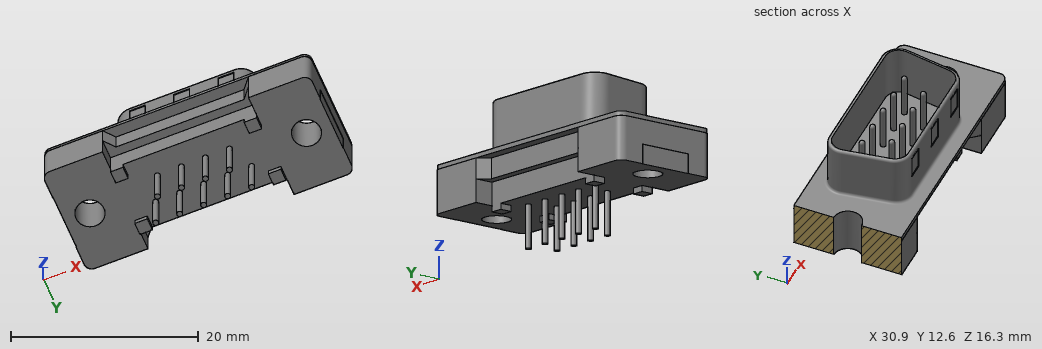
import cadquery as cq
import math


OVERALL_HEIGHT = 16.31

FLANGE_LENGTH = 30.8
FLANGE_WIDTH = 12.55
FLANGE_THICKNESS = 0.5
CORNER_RADIUS = 0.9
HOLE_SPACING = 25.0
HOLE_DIAMETER = 3.2

BODY_LENGTH = 30.89
BODY_WIDTH = 12.6
BODY_BOTTOM = -5.41
CORE_LENGTH = 16.86
CORE_WIDTH = 8.14
UPPER_CORE_LENGTH = 14.78
UPPER_CORE_WIDTH = 10.08
UPPER_CORE_BOTTOM = -2.81

FOOT_SIZE = 1.44
FOOT_HEIGHT = 0.67

PANEL_WIDTH = 6.34
PANEL_TOP = -3.25
PANEL_DEPTH = 0.05

SHELL_HEIGHT = 6.04
SHELL_WIDTH = 9.24
SHELL_LENGTH = 17.74
SHELL_RADIUS = 1.95
SHELL_SIDE_ANGLE = 9.0
SHELL_WALL = 0.4
SHELL_RIM_RADIUS = 0.3
SHELL_BASE_RADIUS = 0.35
SELECTION_MARGIN = 0.01

WINDOW_WIDTH = 1.8
WINDOW_HEIGHT = 2.55
WINDOW_TOP_GAP = 0.75
WINDOW_SPACING = 5.11
WINDOW_DEPTH = 0.1

PIN_DIAMETER = 0.64
PIN_PITCH = 2.77
PIN_ROW_SPACING = 2.84
PIN_TOP = 5.2
PIN_BOTTOM = SHELL_HEIGHT - OVERALL_HEIGHT
PIN_GRID_OFFSET = 0.04
LONG_ROW_COUNT = 5
SHORT_ROW_COUNT = 4


def block(x_size, y_size, bottom, top):
    """Box centred on the Z axis between two heights."""
    box = cq.Workplane("XY").box(x_size, y_size, top - bottom, centered=(True, True, False))
    return box.translate((0, 0, bottom))


def make_flange():
    return block(FLANGE_LENGTH, FLANGE_WIDTH, -FLANGE_THICKNESS, 0).edges("|Z").fillet(CORNER_RADIUS)


def make_side_recess():
    """Material missing from the front and back of the body, between the two end blocks."""
    lower = block(CORE_LENGTH, BODY_WIDTH, BODY_BOTTOM, UPPER_CORE_BOTTOM)
    lower = lower.cut(block(CORE_LENGTH, CORE_WIDTH, BODY_BOTTOM, UPPER_CORE_BOTTOM))
    front = -BODY_WIDTH / 2
    floor = -UPPER_CORE_WIDTH / 2
    upper = (
        cq.Workplane("XY", origin=(0, 0, UPPER_CORE_BOTTOM))
        .moveTo(-CORE_LENGTH / 2, front)
        .lineTo(CORE_LENGTH / 2, front)
        .lineTo(UPPER_CORE_LENGTH / 2, floor)
        .lineTo(-UPPER_CORE_LENGTH / 2, floor)
        .close()
        .extrude(-FLANGE_THICKNESS - UPPER_CORE_BOTTOM)
    )
    return lower.union(upper).union(upper.mirror("XZ"))


def make_feet():
    x = (CORE_LENGTH - FOOT_SIZE) / 2
    y = (CORE_WIDTH - FOOT_SIZE) / 2
    foot = block(FOOT_SIZE, FOOT_SIZE, BODY_BOTTOM - FOOT_HEIGHT, BODY_BOTTOM)
    feet = cq.Workplane("XY")
    for x_sign in (-1, 1):
        for y_sign in (-1, 1):
            feet = feet.add(foot.translate((x_sign * x, y_sign * y, 0)))
    return feet.combine()


def make_body():
    body = block(BODY_LENGTH, BODY_WIDTH, BODY_BOTTOM, -FLANGE_THICKNESS).edges("|Z").fillet(CORNER_RADIUS)
    body = body.cut(make_side_recess())
    panel = block(2 * PANEL_DEPTH, PANEL_WIDTH, BODY_BOTTOM, PANEL_TOP)
    for x in (-BODY_LENGTH / 2, BODY_LENGTH / 2):
        body = body.cut(panel.translate((x, 0, 0)))
    return body.union(make_feet())


def d_prism(inset, height):
    """Rounded D-shaped prism standing on the flange, inset from the outer face of the shell."""
    radius = SHELL_RADIUS - inset
    half_width = SHELL_WIDTH / 2 - inset
    angle = math.radians(SHELL_SIDE_ANGLE)
    long_centre_x = SHELL_LENGTH / 2 - SHELL_RADIUS
    long_corner_x = long_centre_x + radius / math.cos(angle) + radius * math.tan(angle)
    short_corner_x = long_corner_x - 2 * half_width * math.tan(angle)
    corners = [
        (-long_corner_x, half_width),
        (long_corner_x, half_width),
        (short_corner_x, -half_width),
        (-short_corner_x, -half_width),
    ]
    return cq.Workplane("XY").polyline(corners).close().extrude(height).edges("|Z").fillet(radius)


def make_shell_on(flange):
    """Add the shell to the flange, with its rounded rim, base fillet and windows."""
    outer = d_prism(0, SHELL_HEIGHT).faces(">Z").edges().fillet(SHELL_RIM_RADIUS)
    shell = flange.union(outer)
    x = SHELL_LENGTH / 2 + SELECTION_MARGIN
    y = SHELL_WIDTH / 2 + SELECTION_MARGIN
    z = SELECTION_MARGIN
    base_zone = cq.selectors.BoxSelector((-x, -y, -z), (x, y, z), boundingbox=True)
    shell = shell.edges(base_zone).fillet(SHELL_BASE_RADIUS)
    shell = shell.cut(d_prism(SHELL_WALL, SHELL_HEIGHT))
    window_top = SHELL_HEIGHT - WINDOW_TOP_GAP
    window = block(WINDOW_WIDTH, 2 * WINDOW_DEPTH, window_top - WINDOW_HEIGHT, window_top)
    for position in (-1, 0, 1):
        shell = shell.cut(window.translate((position * WINDOW_SPACING, -SHELL_WIDTH / 2, 0)))
    return shell


def make_pin_row(count, y):
    radius = PIN_DIAMETER / 2
    dome_centre = PIN_TOP - radius
    pin = (
        cq.Workplane("XY", origin=(0, 0, PIN_BOTTOM))
        .circle(radius)
        .extrude(dome_centre - PIN_BOTTOM)
        .union(cq.Workplane("XY", origin=(0, 0, dome_centre)).sphere(radius))
    )
    row = cq.Workplane("XY")
    for index in range(count):
        x = (index - (count - 1) / 2) * PIN_PITCH + PIN_GRID_OFFSET
        row = row.add(pin.translate((x, y, 0)))
    return row.combine()


def make_mounting_holes():
    return (
        cq.Workplane("XY", origin=(0, 0, BODY_BOTTOM))
        .pushPoints([(-HOLE_SPACING / 2, 0), (HOLE_SPACING / 2, 0)])
        .circle(HOLE_DIAMETER / 2)
        .extrude(-BODY_BOTTOM)
    )


connector = make_shell_on(make_flange()).union(make_body())
connector = connector.union(make_pin_row(LONG_ROW_COUNT, PIN_ROW_SPACING / 2))
connector = connector.union(make_pin_row(SHORT_ROW_COUNT, -PIN_ROW_SPACING / 2))
result = connector.cut(make_mounting_holes())